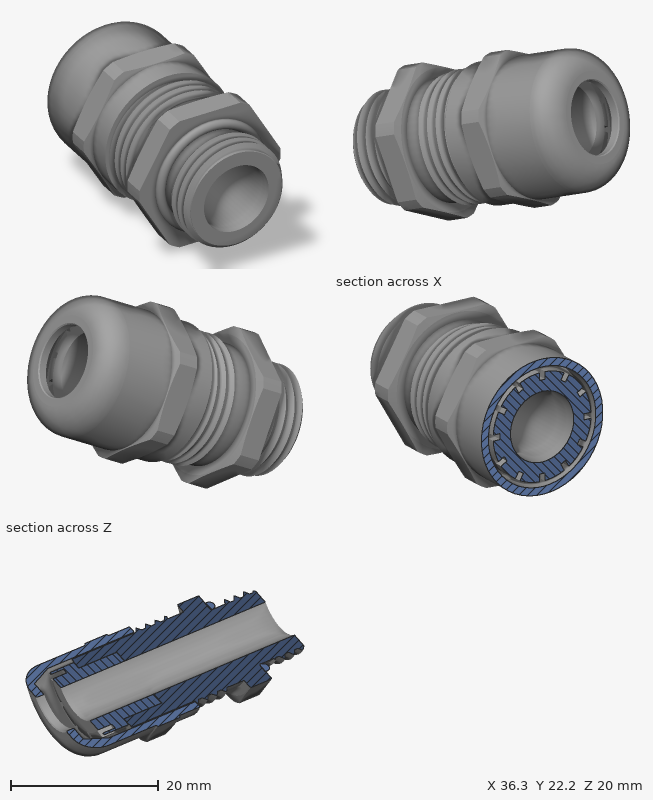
import cadquery as cq
import math


ridge_overlap = 0.1
trim_margin = 1.0

hex_flats = 20.0
hex_corners = 22.16
chamfer_start_radius = 9.86

nut_radius = 9.86
nut_length = 18.05
dome_radius = 3.5
nut_hole_radius = 10.27 / 2
hole_chamfer = 0.15
lip_end = 1.25
cavity_start_radius = 7.2
cavity_cone_end = 4.3
nut_bore_radius = 17.3 / 2
nut_hex_start = 11.0
nut_hex_end = 14.75
nut_hex_chamfer = 0.4

bore_radius = 10.15 / 2
seal_start = 3.84
seal_face_radius = 13.66 / 2
seal_head_radius = 7.95
seal_cone_end = 4.1
seal_head_end = 8.0
seal_stem_radius = 13.66 / 2
seal_end = 14.0
slot_count = 12
slot_width = 0.8
slot_end = 6.0

body_end = 36.26
front_core_radius = 17.15 / 2
shoulder_radius = 17.21 / 2
neck_radius = 14.36 / 2
rear_core_radius = 14.3 / 2
front_thread_end = 23.35
body_hex_start = 25.75
body_hex_end = 29.2
body_hex_chamfer = 0.28
rear_thread_start = 31.48

pitch = 1.5
ridge_base = 1.0
front_crest_radius = 9.25
rear_crest_radius = 7.97
front_crest_x = 19.13
rear_crest_x = 32.25
end_taper_length = 0.8

ring_radius = 17.21 / 2
ring_width = 0.95


def revolved(points):
    """Solid of revolution about X from (x, radius) corners."""
    return cq.Workplane("XY").polyline(points).close().revolve(360, (0, 0, 0), (1, 0, 0))


def tube(start, end, outer, inner=0.0):
    return revolved([(start, inner), (end, inner), (end, outer), (start, outer)])


def hexagon(start, end, front_chamfer, back_chamfer):
    """Hexagon with flats square to Z and corners trimmed by a chamfered turning."""
    corner_radius = hex_corners / 2
    prism = (
        cq.Workplane("YZ", origin=(start, 0, 0))
        .polygon(6, hex_flats / math.cos(math.pi / 6))
        .extrude(end - start)
    )
    turning = [(start, 0), (start, chamfer_start_radius), (start + front_chamfer, corner_radius)]
    if back_chamfer > 0:
        turning += [(end - back_chamfer, corner_radius), (end, chamfer_start_radius)]
    else:
        turning += [(end, corner_radius)]
    turning += [(end, 0)]
    return prism.intersect(revolved(turning))


def thread_ridge(start, end, core_radius, crest_radius, crest_x):
    """Right-hand V ridge around X, cut off square at both ends."""
    helix_start = crest_x - pitch / 4
    while helix_start + ridge_base > start:
        helix_start -= pitch
    turns = math.ceil((end - helix_start + ridge_base) / pitch)
    root_radius = core_radius - ridge_overlap
    slope = ridge_base / 2 / (crest_radius - core_radius)
    half_root = slope * (crest_radius - root_radius)
    helix = cq.Wire.makeHelix(pitch, turns * pitch, core_radius)
    ridge = (
        cq.Workplane("XZ")
        .polyline([(root_radius, -half_root), (crest_radius, 0), (root_radius, half_root)])
        .close()
        .sweep(cq.Workplane(obj=helix), isFrenet=True)
    )
    ridge = ridge.rotate((0, 0, 0), (1, 1, 1), 120).translate((helix_start, 0, 0))
    return ridge.intersect(tube(start, end, crest_radius + trim_margin))


def make_cap_nut():
    face_radius = nut_radius - dome_radius
    bend = dome_radius * math.sin(math.pi / 4)
    shell = (
        cq.Workplane("XY")
        .moveTo(0, nut_hole_radius + hole_chamfer)
        .lineTo(0, face_radius)
        .threePointArc((dome_radius - bend, face_radius + bend), (dome_radius, nut_radius))
        .lineTo(nut_length, nut_radius)
        .lineTo(nut_length, nut_bore_radius)
        .lineTo(cavity_cone_end, nut_bore_radius)
        .lineTo(lip_end, cavity_start_radius)
        .lineTo(lip_end, nut_hole_radius)
        .lineTo(hole_chamfer, nut_hole_radius)
        .close()
        .revolve(360, (0, 0, 0), (1, 0, 0))
    )
    hexagon_ring = hexagon(nut_hex_start, nut_hex_end, nut_hex_chamfer, nut_hex_chamfer).cut(
        tube(nut_hex_start, nut_hex_end, nut_bore_radius)
    )
    return shell.union(hexagon_ring)


def make_seal():
    seal = revolved([
        (seal_start, bore_radius),
        (seal_start, seal_face_radius),
        (seal_cone_end, seal_head_radius),
        (seal_head_end, seal_head_radius),
        (seal_head_end, seal_stem_radius),
        (seal_end, seal_stem_radius),
        (seal_end, bore_radius),
    ])
    slot = cq.Workplane("XY").box(
        slot_end - seal_start,
        seal_head_radius,
        slot_width,
        centered=(False, False, True),
    ).translate((seal_start, seal_face_radius, 0))
    for index in range(slot_count):
        seal = seal.cut(slot.rotate((0, 0, 0), (1, 0, 0), index * 360 / slot_count))
    return seal


def make_body():
    body = revolved([
        (seal_head_end, seal_stem_radius),
        (seal_head_end, front_core_radius),
        (front_thread_end, front_core_radius),
        (front_thread_end, shoulder_radius),
        (body_hex_end, shoulder_radius),
        (body_hex_end, neck_radius),
        (rear_thread_start, neck_radius),
        (rear_thread_start, rear_core_radius),
        (body_end, rear_core_radius),
        (body_end, bore_radius),
        (seal_end, bore_radius),
        (seal_end, seal_stem_radius),
    ])
    flange = hexagon(body_hex_start, body_hex_end, body_hex_chamfer, 0).cut(
        tube(body_hex_start, body_hex_end, neck_radius)
    )
    front_ridge = thread_ridge(
        nut_length, front_thread_end, front_core_radius, front_crest_radius, front_crest_x
    )
    rear_ridge = thread_ridge(
        rear_thread_start, body_end, rear_core_radius, rear_crest_radius, rear_crest_x
    )
    lead_in = revolved([
        (rear_thread_start, 0),
        (rear_thread_start, rear_crest_radius),
        (body_end - end_taper_length, rear_crest_radius),
        (body_end, rear_core_radius),
        (body_end, 0),
    ])
    rear_ridge = rear_ridge.intersect(lead_in)
    return body.union(flange).union(front_ridge).union(rear_ridge)


def make_sealing_ring():
    """Round-section ring on the neck, pressed flat against the flange."""
    section_radius = (ring_radius - neck_radius) / 2
    ring_end = body_hex_end + ring_width
    section_x = ring_end - section_radius
    section_y = neck_radius + section_radius
    ring = (
        cq.Workplane("XY", origin=(section_x, section_y, 0))
        .circle(section_radius)
        .revolve(360, (0, -section_y, 0), (1, -section_y, 0))
    )
    return ring.intersect(tube(body_hex_end, ring_end, ring_radius + trim_margin))


cap_nut = make_cap_nut()
seal = make_seal()
body = make_body()
sealing_ring = make_sealing_ring()

result = cq.Compound.makeCompound([
    cap_nut.solids().val(),
    seal.solids().val(),
    body.solids().val(),
    sealing_ring.solids().val(),
])